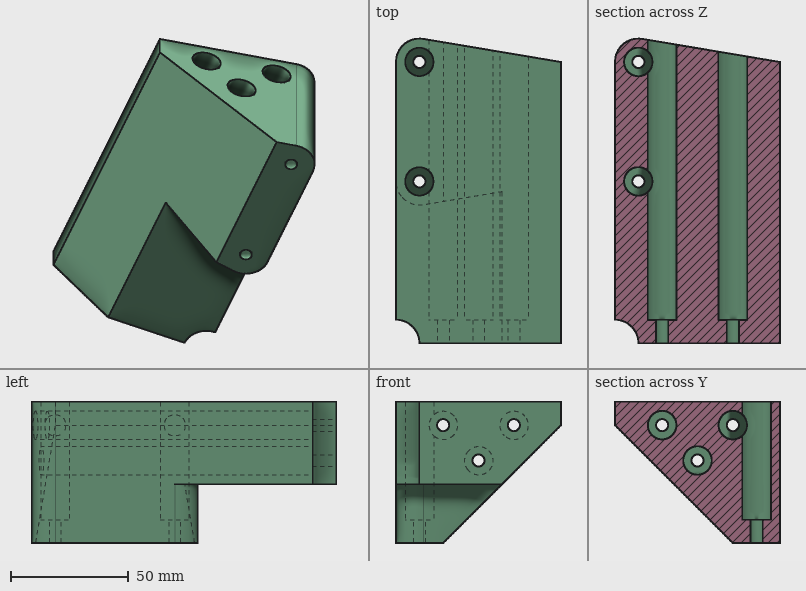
import cadquery as cq
import math

width = 70.0
length = 129.2
height = 60.0

corner_radius = 10.0
block_height = 35.0
edge_height = 10.0
foot_width = width - (height - edge_height)

screw_diameter = 5.0
head_diameter = 12.0
seat_thickness = 10.0

rear_screw_y = length - corner_radius
screw_spacing = 50.7
leg_screw_y = rear_screw_y - screw_spacing

front_screw_middle_x = width / 2
front_screw_half_spacing = 15.0
front_screw_upper_z = -10.0
front_screw_lower_z = front_screw_upper_z - front_screw_half_spacing

taper_run = width - corner_radius
tangent_angle = math.acos(corner_radius / taper_run)
tangent_dx = corner_radius * math.cos(tangent_angle)
tangent_dy = corner_radius * math.sin(tangent_angle)
arc_middle_dx = corner_radius * math.cos((math.pi + tangent_angle) / 2)
arc_middle_dy = corner_radius * math.sin((math.pi + tangent_angle) / 2)


def tapered_rear(outline):
    """Draw the rear edge from the +X side round to the -X side."""
    return (
        outline.lineTo(width, rear_screw_y)
        .lineTo(corner_radius + tangent_dx, rear_screw_y + tangent_dy)
        .threePointArc(
            (corner_radius + arc_middle_dx, rear_screw_y + arc_middle_dy),
            (0, rear_screw_y),
        )
    )


def upper_block():
    """Full-length block with a concave notch in its front left corner."""
    notch_middle = corner_radius * math.sqrt(0.5)
    outline = cq.Workplane("XY").moveTo(corner_radius, 0).lineTo(width, 0)
    outline = tapered_rear(outline).lineTo(0, corner_radius)
    outline = outline.threePointArc((notch_middle, notch_middle), (corner_radius, 0))
    return outline.close().extrude(-block_height)


def leg():
    """Full-height rear part whose front mirrors its rounded, tapered rear."""
    outline = (
        cq.Workplane("XY")
        .moveTo(0, leg_screw_y)
        .threePointArc(
            (corner_radius + arc_middle_dx, leg_screw_y - arc_middle_dy),
            (corner_radius + tangent_dx, leg_screw_y - tangent_dy),
        )
        .lineTo(width, leg_screw_y)
    )
    return tapered_rear(outline).close().extrude(-height)


def end_profile():
    """Cross-section along Y that slopes the underside from foot to +X side."""
    corners = [(0, 0), (width, 0), (width, -edge_height), (foot_width, -height), (0, -height)]
    return cq.Workplane("XZ").polyline(corners).close().extrude(-length)


def vertical_screw(y):
    """Screw hole through the leg with a head bore open at the top."""
    start = cq.Workplane("XY").center(corner_radius, y)
    hole = start.circle(screw_diameter / 2).extrude(-height)
    head_bore = start.circle(head_diameter / 2).extrude(seat_thickness - height)
    return hole.union(head_bore)


def front_screw(x, z):
    """Screw hole through the front face with a head bore open at the rear."""
    start = cq.Workplane("XZ").center(x, z)
    hole = start.circle(screw_diameter / 2).extrude(-length)
    head_bore = start.workplane(offset=-seat_thickness).circle(head_diameter / 2).extrude(-length)
    return hole.union(head_bore)


result = upper_block().union(leg()).intersect(end_profile())

for screw_y in (rear_screw_y, leg_screw_y):
    result = result.cut(vertical_screw(screw_y))

for screw_x, screw_z in (
    (front_screw_middle_x - front_screw_half_spacing, front_screw_upper_z),
    (front_screw_middle_x + front_screw_half_spacing, front_screw_upper_z),
    (front_screw_middle_x, front_screw_lower_z),
):
    result = result.cut(front_screw(screw_x, screw_z))